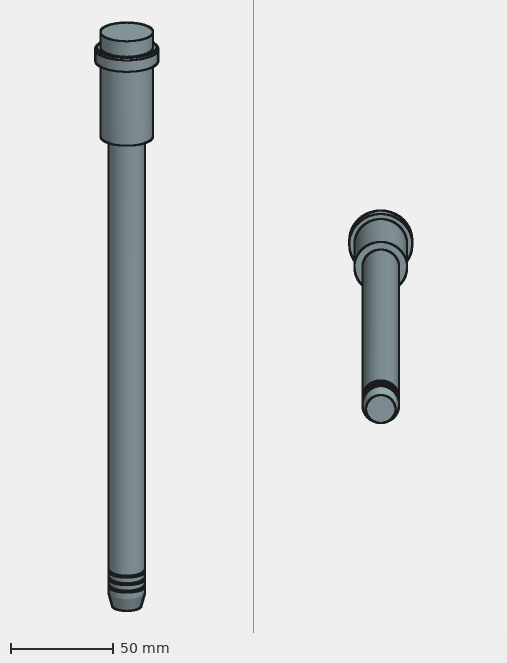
import cadquery as cq
import math

total_length = 300.0

head_radius = 13.0
head_length = 54.5
collar_radius = 15.45
collar_top_depth = 8.0
collar_thickness = 7.0
collar_chamfer = 1.0

rod_radius = 9.0
tip_length = 7.0
tip_angle = 15.0

groove_count = 3
groove_width = 1.0
groove_depth = 0.3
groove_pitch = 4.0
lowest_groove_center = 10.8


def cylinder(radius, bottom, top):
    """Upright cylinder on the Z axis."""
    return cq.Workplane("XY").workplane(offset=bottom).circle(radius).extrude(top - bottom)


def tapered_rod():
    tip_radius = rod_radius - tip_length * math.tan(math.radians(tip_angle))
    profile = [
        (0, 0),
        (tip_radius, 0),
        (rod_radius, tip_length),
        (rod_radius, total_length),
        (0, total_length),
    ]
    return cq.Workplane("XZ").polyline(profile).close().revolve(360, (0, 0), (0, 1))


def head():
    return cylinder(head_radius, total_length - head_length, total_length)


def collar():
    top = total_length - collar_top_depth
    ring = cylinder(collar_radius, top - collar_thickness, top)
    return ring.faces(">Z").chamfer(collar_chamfer)


def ring_groove(center):
    bottom = center - groove_width / 2
    top = center + groove_width / 2
    core = cylinder(rod_radius - groove_depth, bottom, top)
    return cylinder(collar_radius, bottom, top).cut(core)


result = tapered_rod().union(head()).union(collar())
for index in range(groove_count):
    result = result.cut(ring_groove(lowest_groove_center + index * groove_pitch))